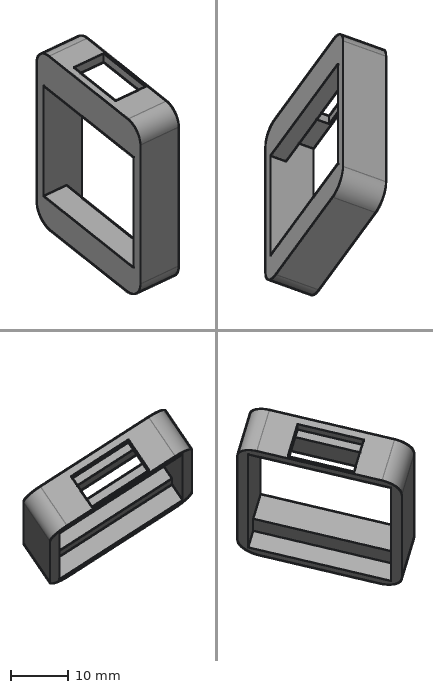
import cadquery as cq

width = 29.8
depth = 8.5
height = 38.3
top_corner_radius = 3.55
bottom_corner_radius = 4.02

wall = 2.0
top_band = 7.5
bottom_band = 6.45

top_plate = 3.05
bottom_plate = 5.1

slot_width = 12.0
slot_depth = 6.6
slot_front = 1.5
slot_offset = -0.15

inner_width = width - 2 * wall
window_bottom = bottom_band
window_top = height - top_band
pocket_bottom = wall
pocket_top = height - wall


def block(size_x, y_start, y_end, z_start, z_end, center_x=0):
    """Box spanning the given Y and Z ranges, centred on center_x."""
    return (
        cq.Workplane("XY")
        .box(size_x, y_end - y_start, z_end - z_start, centered=(True, False, False))
        .translate((center_x, y_start, z_start))
    )


def make_body():
    """Solid block with rounded corners, larger at the bottom."""
    body = block(width, 0, depth, 0, height)
    body = body.faces(">Z").edges("|Y").fillet(top_corner_radius)
    return body.faces("<Z").edges("|Y").fillet(bottom_corner_radius)


window = block(inner_width, 0, depth, window_bottom, window_top)

upper_pocket = block(inner_width, top_plate, depth, window_top, pocket_top)
lower_pocket = block(inner_width, bottom_plate, depth, pocket_bottom, window_bottom)

slot = block(slot_width, slot_front, slot_front + slot_depth, pocket_top, height, slot_offset)

result = make_body().cut(window).cut(upper_pocket).cut(lower_pocket).cut(slot)